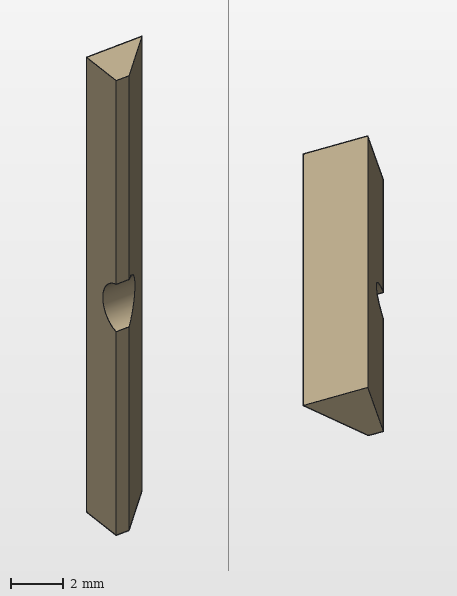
import cadquery as cq

length = 20.8
width = 2.0
depth = 2.6
notch_radius = 1.1
notch_depth = 0.9

narrow_depth = depth - width

bar = (
    cq.Workplane("XY")
    .polyline([(0, 0), (width, 0), (width, narrow_depth), (0, depth)])
    .close()
    .extrude(length / 2, both=True)
)

notch_center_x = width - notch_depth + notch_radius
notch = (
    cq.Workplane("XZ")
    .center(notch_center_x, 0)
    .circle(notch_radius)
    .extrude(-depth)
)

result = bar.cut(notch)